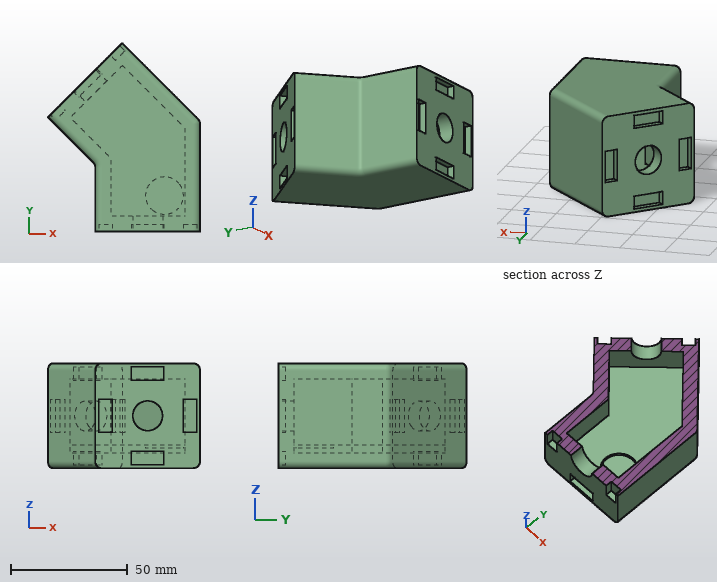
import cadquery as cq
import math

leg_width = 45.0
inner_length = 28.7
bend_angle = 45.0
edge_radius = 3.0

bore_diameter = 12.8
slot_length = 14.0
slot_width = 5.7
slot_depth = 3.1
slot_offset = 18.1

wall = 6.7

plate_thickness = 3.3
recess_depth = 1.3
recess_radius = 8.1
recess_x = 7.1
recess_y = 15.5

half_width = leg_width / 2
bend = math.radians(bend_angle)
bend_x = -math.sin(bend)
bend_y = math.cos(bend)
axis_length = inner_length + half_width * math.tan(bend / 2)
cavity_floor = wall - half_width


def elbow_outline(half, length):
    """Plan outline of an elbow whose legs reach `length` along their axes from the bend centre.

    Point 2 is the outer corner of the bend and point 5 the inner one.
    """
    mitre = half * math.tan(bend / 2)
    start_y = axis_length - length
    end_x = length * bend_x
    end_y = axis_length + length * bend_y
    side_x = half * bend_y
    side_y = -half * bend_x
    return [
        (-half, start_y),
        (half, start_y),
        (half, axis_length + mitre),
        (end_x + side_x, end_y + side_y),
        (end_x - side_x, end_y - side_y),
        (-half, axis_length - mitre),
    ]


def elbow_prism(half, length, bottom, height):
    """Elbow of the given plan, standing on z = `bottom`."""
    outline = cq.Workplane("XY").workplane(offset=bottom).polyline(elbow_outline(half, length))
    return outline.close().extrude(height)


def make_end_cuts(origin, inward):
    """Bore through the end wall and four slots around it, cut from one end face."""
    face = cq.Workplane(cq.Plane(origin=origin, xDir=(-inward[1], inward[0], 0), normal=inward))
    cuts = face.circle(bore_diameter / 2).extrude(wall)
    flat_slots = face.pushPoints([(0, slot_offset), (0, -slot_offset)])
    cuts = cuts.union(flat_slots.rect(slot_length, slot_width).extrude(slot_depth))
    upright_slots = face.pushPoints([(slot_offset, 0), (-slot_offset, 0)])
    return cuts.union(upright_slots.rect(slot_width, slot_length).extrude(slot_depth))


def is_end_edge(edge):
    """True for an edge across either open end of the elbow."""
    tolerance = 0.01
    middle = edge.Center()
    along_angled_leg = middle.x * bend_x + (middle.y - axis_length) * bend_y
    return middle.y < tolerance or along_angled_leg > axis_length - tolerance


def make_housing():
    body = elbow_prism(half_width, axis_length, -half_width, leg_width)

    outline = elbow_outline(half_width, axis_length)
    outer_corner, inner_corner = outline[2], outline[5]
    for x, y in (outer_corner, inner_corner):
        body = body.edges(cq.selectors.NearestToPointSelector((x, y, 0))).fillet(edge_radius)
    plan_edges = body.faces("<Z or >Z").edges().vals()
    leg_edges = [edge for edge in plan_edges if not is_end_edge(edge)]
    body = body.newObject(leg_edges).fillet(edge_radius)

    cavity_height = leg_width - 2 * wall
    body = body.cut(elbow_prism(half_width - wall, axis_length - wall, cavity_floor, cavity_height))

    angled_end = (axis_length * bend_x, axis_length * (1 + bend_y), 0)
    body = body.cut(make_end_cuts((0, 0, 0), (0, 1, 0)))
    return body.cut(make_end_cuts(angled_end, (-bend_x, -bend_y, 0)))


def make_floor_plate():
    plate = elbow_prism(half_width - wall, axis_length - wall, cavity_floor, plate_thickness)
    recess_floor = cavity_floor + plate_thickness - recess_depth
    recess = (
        cq.Workplane("XY")
        .workplane(offset=recess_floor)
        .center(recess_x, recess_y)
        .circle(recess_radius)
        .extrude(recess_depth)
    )
    return plate.cut(recess)


housing = make_housing()
floor_plate = make_floor_plate()

result = cq.Compound.makeCompound([housing.val(), floor_plate.val()])